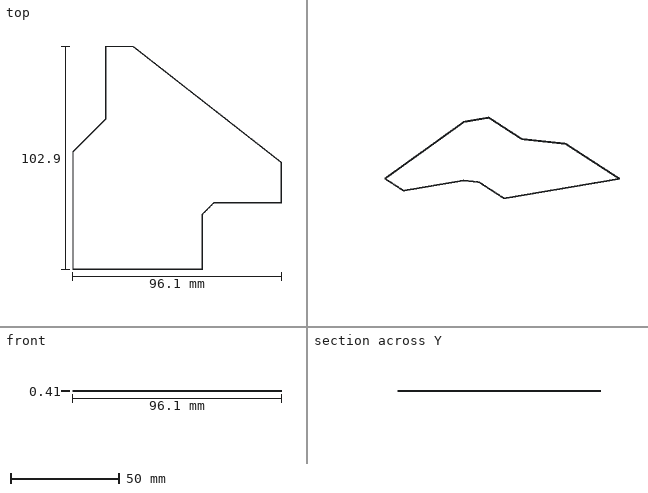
import cadquery as cq

WIDTH = 96.12
HEIGHT = 102.87
THICKNESS = 0.41

BODY_WIDTH = 59.7
ARM_BOTTOM = 30.7
NOTCH_CHAMFER = 5.3

FINGER_LEFT = 15.0
FINGER_TIP_WIDTH = 12.8
SHOULDER_BOTTOM = 54.4

ARM_TOP = 49.4


def sheet_outline():
    """Outline with its lower left corner at the origin, listed counterclockwise."""
    return [
        (0, 0),
        (BODY_WIDTH, 0),
        (BODY_WIDTH, ARM_BOTTOM - NOTCH_CHAMFER),
        (BODY_WIDTH + NOTCH_CHAMFER, ARM_BOTTOM),
        (WIDTH, ARM_BOTTOM),
        (WIDTH, ARM_TOP),
        (FINGER_LEFT + FINGER_TIP_WIDTH, HEIGHT),
        (FINGER_LEFT, HEIGHT),
        (FINGER_LEFT, SHOULDER_BOTTOM + FINGER_LEFT),
        (0, SHOULDER_BOTTOM),
    ]


result = cq.Workplane("XY").polyline(sheet_outline()).close().extrude(THICKNESS)